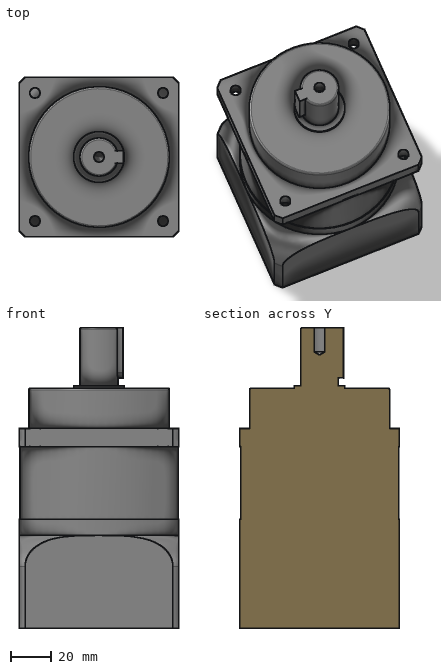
import cadquery as cq
import math

TOTAL_HEIGHT = 149.5
WIDTH = 79.5

BASE_TOP = 46.2
BASE_CORNER_RADIUS = 54.1
BASE_SHOULDER_RADIUS = 15.2
CORE_DIAMETER = 38.9

ACCESS_DIAMETER = 13.0
ACCESS_Y = -13.5
ACCESS_Z = 17.5

RING_TOP = 54.3
RING_DIAMETER = WIDTH
RING_STEP = 0.3
BODY_DIAMETER = RING_DIAMETER - 2 * RING_STEP

FLANGE_BOTTOM = 90.3
FLANGE_TOP = 99.4
FLANGE_CHAMFER = 3.1
BOLT_SPACING = 63.7
BOLT_DIAMETER = 5.1

PILOT_DIAMETER = 70.0
PILOT_TOP = 119.5
COLLAR_DIAMETER = 25.3
COLLAR_TOP = 120.6
PILOT_EDGE_RADIUS = 0.9

SHAFT_DIAMETER = 19.0
SHAFT_END_RADIUS = 0.9
CENTRE_DIAMETER = 5.1
CENTRE_DEPTH = 12.0
DRILL_TIP_ANGLE = 118

KEY_WIDTH = 6.0
KEY_REACH = 12.0
KEY_FLOOR = 6.0
KEY_BOTTOM = 124.4


def cylinder(diameter, bottom, top):
    """Upright cylinder on the gearbox axis."""
    return cq.Workplane("XY").workplane(offset=bottom).circle(diameter / 2).extrude(top - bottom)


def make_base():
    """Square block whose corners and shoulders follow a rounded cylinder, with an access hole."""
    rounded = cylinder(2 * BASE_CORNER_RADIUS, 0, BASE_TOP).faces(">Z").edges().fillet(BASE_SHOULDER_RADIUS)
    block = cq.Workplane("XY").rect(WIDTH, WIDTH).extrude(BASE_TOP)
    core = cylinder(CORE_DIAMETER, 0, BASE_TOP)
    access_hole = (
        cq.Workplane("YZ", origin=(-WIDTH / 2, ACCESS_Y, ACCESS_Z))
        .circle(ACCESS_DIAMETER / 2)
        .extrude(WIDTH / 2)
        .cut(core)
    )
    return block.intersect(rounded).cut(access_hole)


def make_flange():
    """Square plate with chamfered corners and four through holes."""
    plate = (
        cq.Workplane("XY", origin=(0, 0, FLANGE_BOTTOM))
        .rect(WIDTH, WIDTH)
        .extrude(FLANGE_TOP - FLANGE_BOTTOM)
        .edges("|Z")
        .chamfer(FLANGE_CHAMFER)
    )
    return (
        plate.faces(">Z")
        .workplane()
        .rect(BOLT_SPACING, BOLT_SPACING, forConstruction=True)
        .vertices()
        .hole(BOLT_DIAMETER)
    )


def make_key():
    """Key with a half-round lower end and a square end flush with the shaft."""
    half_width = KEY_WIDTH / 2
    round_centre = KEY_BOTTOM + half_width
    return (
        cq.Workplane("YZ", origin=(KEY_FLOOR, 0, 0))
        .moveTo(-half_width, TOTAL_HEIGHT)
        .lineTo(-half_width, round_centre)
        .threePointArc((0, KEY_BOTTOM), (half_width, round_centre))
        .lineTo(half_width, TOTAL_HEIGHT)
        .close()
        .extrude(KEY_REACH - KEY_FLOOR)
    )


def make_centre_hole():
    """Drilled hole with a conical tip, opening at the shaft end."""
    radius = CENTRE_DIAMETER / 2
    wall_bottom = TOTAL_HEIGHT - CENTRE_DEPTH
    tip = wall_bottom - radius / math.tan(math.radians(DRILL_TIP_ANGLE / 2))
    return (
        cq.Workplane("XZ")
        .polyline([(0, TOTAL_HEIGHT), (radius, TOTAL_HEIGHT), (radius, wall_bottom), (0, tip)])
        .close()
        .revolve(360, (0, 0, 0), (0, 1, 0))
    )


ring = cylinder(RING_DIAMETER, BASE_TOP, RING_TOP)
body = cylinder(BODY_DIAMETER, RING_TOP, FLANGE_BOTTOM)
pilot = cylinder(PILOT_DIAMETER, FLANGE_TOP, PILOT_TOP).faces(">Z").edges().fillet(PILOT_EDGE_RADIUS)
collar = cylinder(COLLAR_DIAMETER, PILOT_TOP, COLLAR_TOP)
shaft = cylinder(SHAFT_DIAMETER, COLLAR_TOP, TOTAL_HEIGHT).faces(">Z").edges().fillet(SHAFT_END_RADIUS)

result = make_base()
for section in (ring, body, make_flange(), pilot, collar, shaft, make_key()):
    result = result.union(section)
result = result.cut(make_centre_hole())